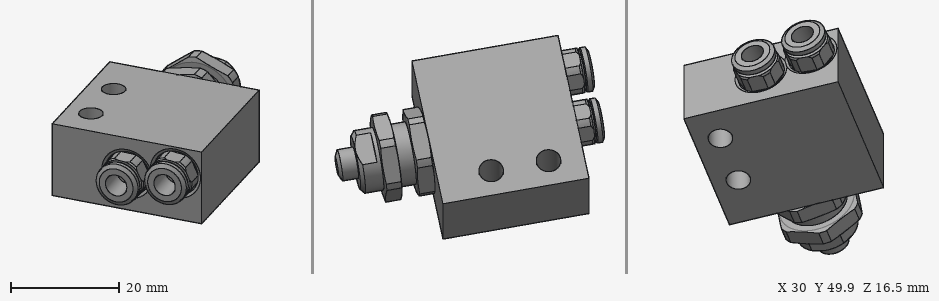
import cadquery as cq
import math

BLOCK_WIDTH = 30.0
BLOCK_LENGTH = 27.55
BLOCK_HEIGHT = 14.9
MOUNT_HOLE_DIAMETER = 4.55
MOUNT_HOLE_SIDE_OFFSET = 5.0
MOUNT_HOLE_FRONT_OFFSET = 6.65
MOUNT_HOLE_SPACING = 10.8

VALVE_ACROSS_FLATS = 15.0
VALVE_CORNER_RADIUS = 16.5 / 2
VALVE_CHAMFER_LENGTH = 0.2
VALVE_CHAMFER_DEPTH = 1.0
COLLAR_LENGTH = 3.25
COLLAR_CORNER_ANGLE = 11.4
NUT_LENGTH = 3.2
NUT_CORNER_ANGLE = 37.7
NUT_GAP = 2.95

BARREL_RADIUS = 11.8 / 2
BARREL_LENGTH = 10.3
BARREL_CHAMFER_LENGTH = 0.75
BARREL_CHAMFER_DEPTH = 0.9
BARREL_ACROSS_FLATS = 10.05
BARREL_FLAT_LENGTH = 3.45
BUTTON_RADIUS = 5.95 / 2
BUTTON_LENGTH = 3.55
BUTTON_CHAMFER_LENGTH = 0.6
BUTTON_CHAMFER_DEPTH = 1.2

FITTINGS = [(0, 0, 57.0), (9.7, 2.0, 54.0)]
FITTING_ACROSS_FLATS = 8.35
FITTING_CORNER_RADIUS = 8.9 / 2
FITTING_HEX_LENGTH = 3.2
FITTING_CHAMFER_LENGTH = 0.45
FITTING_CHAMFER_DEPTH = 0.2
NECK_LENGTH = 0.4
NECK_RADIUS = 2.75
NECK_FLARE_RADIUS = 3.0
RING_RADIUS = 4.2
RING_LENGTH = 1.6
RING_REAR_CHAMFER = 0.2
RING_FRONT_CHAMFER_LENGTH = 0.45
RING_FACE_RADIUS = 3.4
TUBE_BORE_RADIUS = 2.15
TUBE_BORE_DEPTH = 6.0
SEAT_MOUTH_RADIUS = 5.05
SEAT_DEPTH = 0.3


def turned(profile):
    """Solid of revolution about the Y axis from (radius, y) points."""
    return cq.Workplane("XY").polyline(profile).close().revolve(360, (0, 0), (0, 1))


def hexagon(across_flats, y_start, length, corner_angle):
    """Hexagonal prism along +Y with one corner at corner_angle from +X towards +Z."""
    prism = (
        cq.Workplane("XZ", origin=(0, y_start, 0))
        .polygon(6, across_flats / math.cos(math.pi / 6))
        .extrude(-length)
    )
    return prism.rotate((0, 0, 0), (0, 1, 0), -corner_angle)


def valve_hexagon(y_start, length, corner_angle):
    """Hexagon of the valve with rounded corners and both ends chamfered."""
    y_end = y_start + length
    face_radius = VALVE_CORNER_RADIUS - VALVE_CHAMFER_DEPTH
    envelope = turned([
        (0, y_start),
        (face_radius, y_start),
        (VALVE_CORNER_RADIUS, y_start + VALVE_CHAMFER_LENGTH),
        (VALVE_CORNER_RADIUS, y_end - VALVE_CHAMFER_LENGTH),
        (face_radius, y_end),
        (0, y_end),
    ])
    return hexagon(VALVE_ACROSS_FLATS, y_start, length, corner_angle).intersect(envelope)


def make_barrel(y_start):
    """Barrel with a chamfered end and two wrench flats, above and below."""
    y_end = y_start + BARREL_LENGTH
    barrel = turned([
        (0, y_start),
        (BARREL_RADIUS, y_start),
        (BARREL_RADIUS, y_end - BARREL_CHAMFER_LENGTH),
        (BARREL_RADIUS - BARREL_CHAMFER_DEPTH, y_end),
        (0, y_end),
    ])
    flat_depth = BARREL_RADIUS - BARREL_ACROSS_FLATS / 2
    for side in (-1, 1):
        flat = cq.Workplane("XY").box(2 * BARREL_RADIUS, BARREL_FLAT_LENGTH, flat_depth)
        flat_z = side * (BARREL_ACROSS_FLATS + flat_depth) / 2
        barrel = barrel.cut(flat.translate((0, y_end - BARREL_FLAT_LENGTH / 2, flat_z)))
    return barrel


def make_button(y_start):
    """Push button at the end of the barrel."""
    y_end = y_start + BUTTON_LENGTH
    return turned([
        (0, y_start),
        (BUTTON_RADIUS, y_start),
        (BUTTON_RADIUS, y_end - BUTTON_CHAMFER_LENGTH),
        (BUTTON_RADIUS - BUTTON_CHAMFER_DEPTH, y_end),
        (0, y_end),
    ])


def make_valve():
    """Button valve standing on the rear face of the block."""
    collar_end = BLOCK_LENGTH + COLLAR_LENGTH
    collar = valve_hexagon(BLOCK_LENGTH, COLLAR_LENGTH, COLLAR_CORNER_ANGLE)
    nut = valve_hexagon(collar_end + NUT_GAP, NUT_LENGTH, NUT_CORNER_ANGLE)
    barrel = make_barrel(collar_end)
    button = make_button(collar_end + BARREL_LENGTH)
    return collar.union(barrel).union(nut).union(button)


def make_fitting(x, z, corner_angle):
    """Push-in fitting: hexagon seated in the block, flared neck, ring and blind tube bore."""
    hex_front = -FITTING_HEX_LENGTH
    hex_body = hexagon(FITTING_ACROSS_FLATS, hex_front, FITTING_HEX_LENGTH + SEAT_DEPTH, corner_angle)
    envelope = turned([
        (0, hex_front),
        (FITTING_CORNER_RADIUS - FITTING_CHAMFER_DEPTH, hex_front),
        (FITTING_CORNER_RADIUS, hex_front + FITTING_CHAMFER_LENGTH),
        (FITTING_CORNER_RADIUS, SEAT_DEPTH),
        (0, SEAT_DEPTH),
    ])
    ring_rear = hex_front - NECK_LENGTH
    ring_front = ring_rear - RING_LENGTH
    neck_and_ring = turned([
        (0, hex_front),
        (NECK_RADIUS, hex_front),
        (NECK_FLARE_RADIUS, ring_rear),
        (RING_RADIUS - RING_REAR_CHAMFER, ring_rear),
        (RING_RADIUS, ring_rear - RING_REAR_CHAMFER),
        (RING_RADIUS, ring_front + RING_FRONT_CHAMFER_LENGTH),
        (RING_FACE_RADIUS, ring_front),
        (0, ring_front),
    ])
    ring_face = cq.Workplane("XZ", origin=(0, ring_front, 0))
    bore = ring_face.circle(TUBE_BORE_RADIUS).extrude(-TUBE_BORE_DEPTH)
    fitting = hex_body.intersect(envelope).union(neck_and_ring).cut(bore)
    return fitting.translate((x, 0, z))


def make_block():
    """Block with two through mounting holes and a countersunk seat for each fitting."""
    block = cq.Workplane("XY").box(BLOCK_WIDTH, BLOCK_LENGTH, BLOCK_HEIGHT)
    block = block.translate((0, BLOCK_LENGTH / 2, 0))
    hole_x = MOUNT_HOLE_SIDE_OFFSET - BLOCK_WIDTH / 2
    for hole_y in (MOUNT_HOLE_FRONT_OFFSET, MOUNT_HOLE_FRONT_OFFSET + MOUNT_HOLE_SPACING):
        hole = cq.Workplane("XY", origin=(hole_x, hole_y, -BLOCK_HEIGHT / 2))
        block = block.cut(hole.circle(MOUNT_HOLE_DIAMETER / 2).extrude(BLOCK_HEIGHT))
    seat = turned([
        (0, 0),
        (SEAT_MOUTH_RADIUS, 0),
        (FITTING_CORNER_RADIUS, SEAT_DEPTH),
        (0, SEAT_DEPTH),
    ])
    for x, z, _ in FITTINGS:
        block = block.cut(seat.translate((x, 0, z)))
    return block


block = make_block()
valve = make_valve()
fittings = [make_fitting(x, z, corner_angle) for x, z, corner_angle in FITTINGS]

result = cq.Compound.makeCompound([
    block.val(),
    valve.val(),
    *[fitting.val() for fitting in fittings],
])